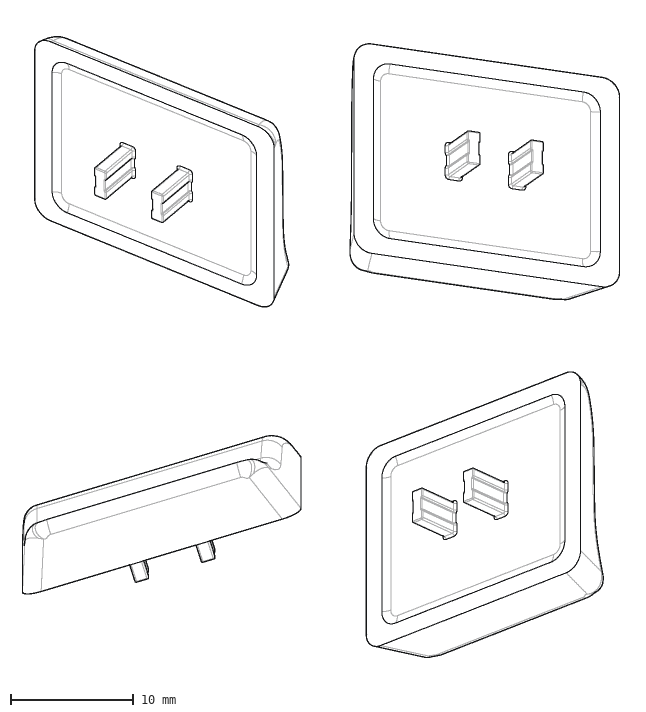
import cadquery as cq
import math


width = 23.8
height = 18.0
half_width = width / 2
half_height = height / 2
draft_angle = 20.0
side_slope = math.tan(math.radians(draft_angle))
edge_radius = 1.5
heel_radius = 1.0

top_land = 0.24
top_lean = 90.0
crown_radius = 2.38
crown_lean = 25.0
shoulder_radius = 10.42
back_lean = 1.7
back_length = 5.52
hollow_radius = 9.92
heel_lean = 26.6

front_stock = 2.85
side_stock = 2.38

side_rim = 1.74
end_rim = 1.5
recess_corner_radius = 1.5
recess_depth = 0.25
recess_wall_radius = 1.24
recess_wall_run = math.sqrt(2 * recess_wall_radius * recess_depth - recess_depth**2)

pin_spacing = 5.66
pin_width = 1.17
pin_height = 2.8
pin_reach = 3.69
pin_corner_radius = 0.15
pin_tip_radius = 0.1
pin_root_radius = 0.2

groove_mouth = 1.35
groove_depth = 0.1
groove_crest_radius = 0.2
groove_valley_radius = 0.1


def step(start, length, lean):
    """Point at a distance from the start, in the direction of a lean angle."""
    angle = math.radians(lean)
    return (start[0] + length * math.sin(angle), start[1] - length * math.cos(angle))


def arc_points(start, radius, start_lean, end_lean):
    """Middle and end points of an arc that turns from one lean to another."""
    points = []
    for share in (0.5, 1.0):
        turn = share * (end_lean - start_lean)
        chord = 2 * radius * math.sin(math.radians(abs(turn) / 2))
        points.append(step(start, chord, start_lean + turn / 2))
    return points


def build_draft_prism(back_depth):
    """Full-height prism whose sides lean inward from the front to the back."""
    front_half = half_width + front_stock * side_slope
    back_half = half_width - back_depth * side_slope
    return (
        cq.Workplane("XY", origin=(0, 0, -half_height))
        .moveTo(-front_half, -front_stock)
        .lineTo(front_half, -front_stock)
        .lineTo(back_half, back_depth)
        .lineTo(-back_half, back_depth)
        .close()
        .extrude(height)
    )


def build_blank():
    """Side profile extruded across the width and trimmed to the drafted sides."""
    crown = arc_points((top_land, height), crown_radius, top_lean, crown_lean)
    shoulder = arc_points(crown[1], shoulder_radius, crown_lean, back_lean)
    back_end = step(shoulder[1], back_length, back_lean)
    hollow = arc_points(back_end, hollow_radius, back_lean, heel_lean)
    heel_length = hollow[1][1] / math.cos(math.radians(heel_lean))
    heel_tip = step(hollow[1], heel_length, heel_lean)
    slab = (
        cq.Workplane("YZ", origin=(-half_width - side_stock, 0, -half_height))
        .moveTo(-front_stock, 0)
        .lineTo(-front_stock, height)
        .lineTo(top_land, height)
        .threePointArc(*crown)
        .threePointArc(*shoulder)
        .lineTo(*back_end)
        .threePointArc(*hollow)
        .lineTo(*heel_tip)
        .close()
        .extrude(width + 2 * side_stock)
    )
    return slab.intersect(build_draft_prism(heel_tip[0]))


def build_recess_cutter():
    """Rounded block sunk into the front face only as far as part of its floor blend."""
    overhang = recess_wall_radius - recess_wall_run
    block_depth = 2 * recess_wall_radius
    block_width = width - 2 * (side_rim - overhang)
    block_height = height - 2 * (end_rim - overhang)
    return (
        cq.Workplane("XY")
        .box(block_width, block_depth, block_height)
        .translate((0, recess_depth - block_depth / 2, 0))
        .edges("|Y")
        .fillet(recess_corner_radius + overhang)
        .faces(">Y")
        .edges()
        .fillet(recess_wall_radius)
    )


def build_housing():
    """Blank with rounded side, corner and heel edges, cut flat in front and recessed."""
    body = build_blank()
    body = body.faces("<X or >X").edges("not <Y").fillet(edge_radius).solids()
    body = body.faces("<Z").edges("|X").edges(">Y").fillet(heel_radius)
    front_waste = (
        cq.Workplane("XY")
        .box(2 * width, front_stock, 2 * height)
        .translate((0, -front_stock / 2, 0))
    )
    return body.cut(front_waste).cut(build_recess_cutter()).solids()


def build_groove_cutter():
    """Groove on the +X side of a pin, running along Y for the whole pin."""
    face_x = pin_width / 2
    floor_x = face_x - groove_depth
    radius_sum = groove_crest_radius + groove_valley_radius
    flank_height = math.sqrt(2 * groove_depth * radius_sum - groove_depth**2)
    flank_turn = math.asin(flank_height / radius_sum)
    mouth_z = groove_mouth / 2
    floor_z = mouth_z - flank_height

    def crest(turn):
        drop = groove_crest_radius * (1 - math.cos(turn))
        return (face_x - drop, mouth_z - groove_crest_radius * math.sin(turn))

    def valley(turn):
        rise = groove_valley_radius * (1 - math.cos(turn))
        return (floor_x + rise, floor_z + groove_valley_radius * math.sin(turn))

    def below(point):
        return (point[0], -point[1])

    middle = flank_turn / 2
    return (
        cq.Workplane("XZ", origin=(0, recess_depth, 0))
        .moveTo(*crest(0))
        .threePointArc(crest(middle), crest(flank_turn))
        .threePointArc(valley(middle), valley(0))
        .lineTo(*below(valley(0)))
        .threePointArc(below(valley(middle)), below(crest(flank_turn)))
        .threePointArc(below(crest(middle)), below(crest(0)))
        .close()
        .extrude(pin_reach + recess_depth)
    )


def build_pin_bar():
    """Grooved bar with rounded corners and a rounded tip."""
    groove = build_groove_cutter()
    return (
        cq.Workplane("XZ", origin=(0, recess_depth, 0))
        .rect(pin_width, pin_height)
        .extrude(pin_reach + recess_depth)
        .edges("|Y")
        .fillet(pin_corner_radius)
        .cut(groove)
        .cut(groove.mirror("YZ"))
        .faces("<Y")
        .edges()
        .fillet(pin_tip_radius)
    )


def build_pin():
    """Pin bar with a root that flares out where it meets the recess floor."""
    backing_size = 2 * pin_height
    backing = (
        cq.Workplane("XZ", origin=(0, recess_depth, 0))
        .rect(backing_size, backing_size)
        .extrude(-pin_width)
    )
    margin = 0.002
    root_edges = cq.selectors.BoxSelector(
        (-pin_width / 2 - margin, recess_depth - margin, -pin_height / 2 - margin),
        (pin_width / 2 + margin, recess_depth + margin, pin_height / 2 + margin),
    )
    joined = build_pin_bar().union(backing)
    return joined.edges(root_edges).fillet(pin_root_radius).cut(backing).solids()


housing = build_housing()
pins = []
for side in (-1, 1):
    pins.append(build_pin().translate((side * pin_spacing / 2, 0, 0)))

result = cq.Compound.makeCompound([housing.val(), *[pin.val() for pin in pins]])